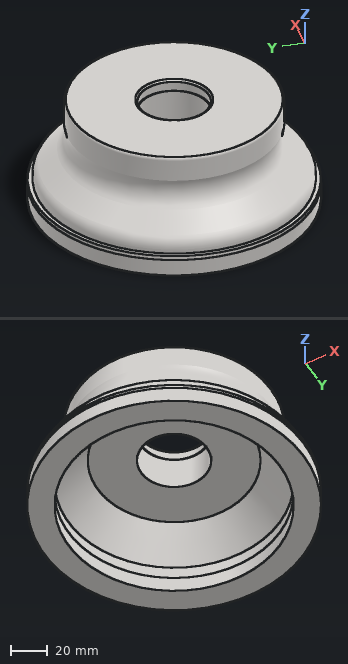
import cadquery as cq
import math

height = 63.0
rim_radius = 80.0
bottom_radius = 79.95

rim_height = 10.0
rim_width = 15.0
rim_edge_height = 0.5

draft = math.radians(5)
flange_top = 12.5
flange_edge_height = 12.4
ridge_radius = 78.3

foot_radius = 77.2
groove_top = 13.4
shoulder_bottom = 14.8
shoulder_radius = 10.0
slope_angle = math.radians(46.5)

neck_radius = 59.0
waist_radius = 15.0
hub_radius = 60.0
hub_round_width = 1.0
hub_round_height = 2.0

bore_radius = 20.0
bore_chamfer = 1.2
relief_radius = 20.2
relief_top = 56.0
web_bottom = 35.0
cavity_radius = rim_radius - rim_width
cavity_top_radius = 47.0
cavity_cone_height = (cavity_radius - cavity_top_radius) / math.tan(slope_angle)

flange_edge_radius = rim_radius - (flange_edge_height - rim_height) * math.tan(draft)
groove_bottom_radius = foot_radius - (groove_top - flange_top) * math.tan(draft)
groove_bottom = flange_top - (ridge_radius - groove_bottom_radius) * math.tan(draft)

shoulder_center = (foot_radius - shoulder_radius, shoulder_bottom)

slope_distance = (
    shoulder_center[0] * math.cos(slope_angle) + shoulder_center[1] * math.sin(slope_angle) + shoulder_radius
)
waist_center_radius = neck_radius + waist_radius
waist_center_height = (
    slope_distance + waist_radius - waist_center_radius * math.cos(slope_angle)
) / math.sin(slope_angle)
waist_center = (waist_center_radius, waist_center_height)
hub_bottom = waist_center_height + math.sqrt(waist_radius**2 - (waist_center_radius - hub_radius) ** 2)

hub_round_radius = (hub_round_width**2 + hub_round_height**2) / (2 * hub_round_width)
hub_round_center = (hub_radius - hub_round_radius, height - hub_round_height)
hub_round_angle = math.asin(hub_round_height / hub_round_radius)


def arc_point(center, radius, angle):
    return (center[0] + radius * math.cos(angle), center[1] + radius * math.sin(angle))


def revolve_profile(profile):
    return profile.close().revolve(360, (0, 0, 0), (0, 1, 0))


def make_wheel_body():
    profile = (
        cq.Workplane("XZ")
        .moveTo(cavity_radius, rim_height)
        .lineTo(rim_radius, rim_height)
        .lineTo(flange_edge_radius, flange_edge_height)
        .lineTo(ridge_radius, flange_top)
        .lineTo(groove_bottom_radius, groove_bottom)
        .lineTo(foot_radius, groove_top)
        .lineTo(foot_radius, shoulder_bottom)
        .threePointArc(
            arc_point(shoulder_center, shoulder_radius, slope_angle / 2),
            arc_point(shoulder_center, shoulder_radius, slope_angle),
        )
        .lineTo(*arc_point(waist_center, waist_radius, math.pi + slope_angle))
        .threePointArc((neck_radius, waist_center_height), (hub_radius, hub_bottom))
        .lineTo(hub_radius, height - hub_round_height)
        .threePointArc(
            arc_point(hub_round_center, hub_round_radius, hub_round_angle / 2),
            (hub_radius - hub_round_width, height),
        )
        .lineTo(bore_radius + bore_chamfer, height)
        .lineTo(bore_radius, height - bore_chamfer)
        .lineTo(bore_radius, relief_top)
        .lineTo(relief_radius, relief_top)
        .lineTo(relief_radius, web_bottom)
        .lineTo(cavity_top_radius, web_bottom)
        .lineTo(cavity_radius, web_bottom - cavity_cone_height)
    )
    return revolve_profile(profile)


def make_grinding_rim():
    profile = (
        cq.Workplane("XZ")
        .moveTo(cavity_radius, 0)
        .lineTo(bottom_radius, 0)
        .lineTo(rim_radius, rim_edge_height)
        .lineTo(rim_radius, rim_height)
        .lineTo(cavity_radius, rim_height)
    )
    return revolve_profile(profile)


wheel_body = make_wheel_body()
grinding_rim = make_grinding_rim()
result = cq.Compound.makeCompound([wheel_body.val(), grinding_rim.val()])